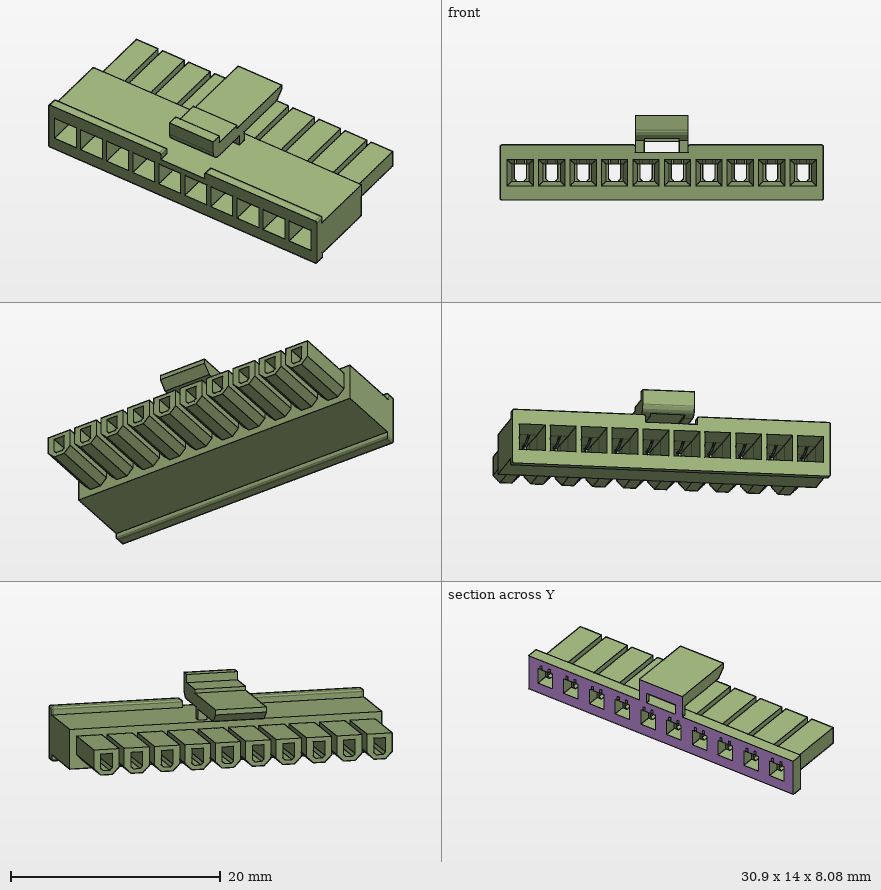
import cadquery as cq
import math

WIDTH = 30.85
CIRCUITS = 10
END_MARGIN = 1.928
PITCH = (WIDTH - 2 * END_MARGIN) / (CIRCUITS - 1)
TOTAL_LENGTH = 14.0
TOTAL_HEIGHT = 8.08

BODY_LENGTH = 7.62
BODY_BOTTOM = 0.65
BODY_TOP = 4.55
FLANGE_DEPTH = 1.02
FLANGE_TOP = 5.28
FLANGE_ROUND = 0.2

CELL_WIDTH = 2.5
CELL_BOTTOM = 1.35
CELL_TOP = 3.85
CELL_MIDDLE = (CELL_BOTTOM + CELL_TOP) / 2
CELL_HEIGHT = CELL_TOP - CELL_BOTTOM
TUBE_CHAMFER = 0.68
TAPER_INSET = 0.43
TAPER_LENGTH = 1.7
TAPER_START = 4.32
TAPER_END = TAPER_START + TAPER_LENGTH
THROAT_WIDTH = CELL_WIDTH - 2 * TAPER_INSET
THROAT_HEIGHT = CELL_HEIGHT - 2 * TAPER_INSET
BORE_WIDTH = 1.15
BORE_CHAMFER = 0.25
GROOVE_WIDTH = 0.2

LATCH_WIDTH = 5.03
LATCH_FRONT = 1.48
LATCH_REAR = 13.2
HEAD_REAR = 2.53
STEP_REAR = 5.55
STEP_TOP = 7.28
ARM_TOP = 6.9
ARM_BOTTOM = 5.58
FRONT_BOTTOM = 5.68
NOSE_RADIUS = 1.0
TAIL_CHAMFER = 0.83
LEG_FRONT = 5.95
LEG_REAR = 6.8
LEG_WIDTH = 0.85
RECESS_TOP = 5.85


def block(width, y_start, y_end, z_bottom, z_top, x_centre=0.0):
    """Rectangular block between two Y planes and two Z planes."""
    return (
        cq.Workplane("XY")
        .box(width, y_end - y_start, z_top - z_bottom, centered=(True, False, False))
        .translate((x_centre, y_start, z_bottom))
    )


def flange():
    """Lip under the body and two ridges above it, leaving a gap for the latch."""
    lip = block(WIDTH, 0, FLANGE_DEPTH, 0, BODY_TOP)
    lip = lip.edges("<Z and (|Y or >Y)").fillet(FLANGE_ROUND)
    ridge_width = (WIDTH - LATCH_WIDTH) / 2
    ridge_x = (LATCH_WIDTH + ridge_width) / 2
    ridge = block(ridge_width, 0, FLANGE_DEPTH, BODY_TOP, FLANGE_TOP, ridge_x)
    ridge = ridge.edges("(|Y and >Z) or (>Y and >Z) or (|Z and >X and >Y)").fillet(FLANGE_ROUND)
    return lip.union(ridge).union(ridge.mirror("YZ"))


def tube(x):
    """Rear tube of one circuit, with its lower long edges chamfered."""
    tube_block = block(CELL_WIDTH, BODY_LENGTH, TOTAL_LENGTH, CELL_BOTTOM, CELL_TOP, x)
    return tube_block.edges("|Y and <Z").chamfer(TUBE_CHAMFER)


def cavity(x):
    """Square pocket, grooved taper, throat and bore of one circuit, as a solid to remove."""
    pocket = block(CELL_WIDTH, 0, TAPER_START, CELL_BOTTOM, CELL_TOP, x)
    taper = (
        cq.Workplane("XZ", origin=(x, TAPER_START, CELL_MIDDLE))
        .rect(CELL_WIDTH, CELL_HEIGHT)
        .workplane(offset=-TAPER_LENGTH)
        .rect(THROAT_WIDTH, THROAT_HEIGHT)
        .loft(ruled=True)
    )
    bore_bottom = CELL_BOTTOM + TAPER_INSET
    bore_top = CELL_TOP - TAPER_INSET
    throat = block(THROAT_WIDTH, TAPER_END, BODY_LENGTH, bore_bottom, bore_top, x)
    bore = block(BORE_WIDTH, BODY_LENGTH, TOTAL_LENGTH, bore_bottom, bore_top, x)
    bore = bore.edges("|Y and <Z").chamfer(BORE_CHAMFER)
    passage = pocket.union(taper).union(throat).union(bore)
    groove_offset = (BORE_WIDTH - GROOVE_WIDTH) / 2
    for side in (-1, 1):
        groove_x = x + side * groove_offset
        passage = passage.union(
            block(GROOVE_WIDTH, TAPER_START, BODY_LENGTH, CELL_MIDDLE, CELL_TOP, groove_x)
        )
    return passage


def latch():
    """Rocker arm with a raised head, carried on two legs."""
    nose_y = LATCH_FRONT + NOSE_RADIUS
    nose_z = FRONT_BOTTOM + NOSE_RADIUS
    nose_reach = NOSE_RADIUS * math.sqrt(0.5)
    arm = (
        cq.Workplane("YZ", origin=(-LATCH_WIDTH / 2, 0, 0))
        .moveTo(LATCH_FRONT, TOTAL_HEIGHT)
        .lineTo(HEAD_REAR, TOTAL_HEIGHT)
        .lineTo(HEAD_REAR, STEP_TOP)
        .lineTo(STEP_REAR, STEP_TOP)
        .lineTo(STEP_REAR, ARM_TOP)
        .lineTo(LATCH_REAR, ARM_TOP)
        .lineTo(LATCH_REAR, ARM_BOTTOM + TAIL_CHAMFER)
        .lineTo(LATCH_REAR - TAIL_CHAMFER, ARM_BOTTOM)
        .lineTo(LEG_FRONT, ARM_BOTTOM)
        .lineTo(LEG_FRONT, FRONT_BOTTOM)
        .lineTo(nose_y, FRONT_BOTTOM)
        .threePointArc((nose_y - nose_reach, nose_z - nose_reach), (LATCH_FRONT, nose_z))
        .close()
        .extrude(LATCH_WIDTH)
    )
    gap_width = LATCH_WIDTH - 2 * LEG_WIDTH
    arm = arm.cut(block(gap_width, LATCH_FRONT, LEG_FRONT, ARM_BOTTOM, RECESS_TOP))
    leg_x = (LATCH_WIDTH - LEG_WIDTH) / 2
    for side in (-1, 1):
        arm = arm.union(block(LEG_WIDTH, LEG_FRONT, LEG_REAR, BODY_TOP, ARM_TOP, side * leg_x))
    return arm


result = block(WIDTH, 0, BODY_LENGTH, BODY_BOTTOM, BODY_TOP).union(flange()).union(latch())
for circuit in range(CIRCUITS):
    circuit_x = (circuit - (CIRCUITS - 1) / 2) * PITCH
    result = result.union(tube(circuit_x)).cut(cavity(circuit_x))